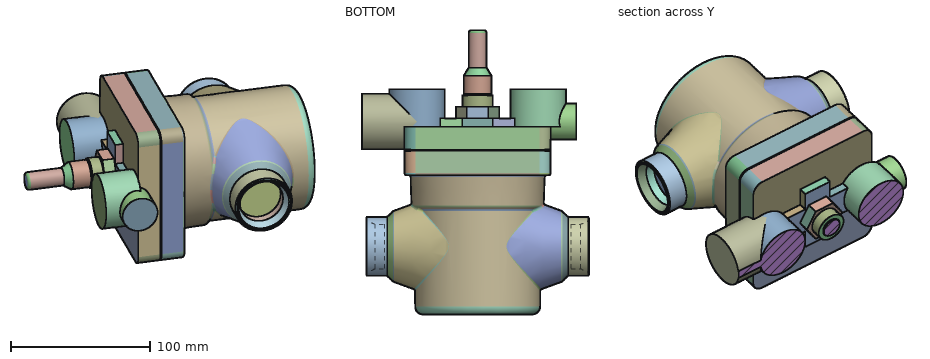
import cadquery as cq
import math


body_top = 49.0
body_diameter = 90.0
body_crown_radius = 6.0
shoulder_start = -26.1
shoulder_radius = 2.0
neck_diameter = 95.0
neck_foot_diameter = 96.5
neck_foot_radius = 1.2

plate_side = 105.0
plate_corner_radius = 8.0
flange_back = -51.0
flange_front = -68.5
flange_edge_radius = 1.5
cover_back = -69.4
cover_front = -85.8
gasket_diameter = neck_foot_diameter

port_end = 80.0
port_start = 65.0
port_diameter = 42.4
port_lip_radial = 1.2
port_lip_axial = 0.5
boss_diameter = 51.0
boss_start = 60.4
boss_root = 16.0
boss_draft = 20.0
boss_fillet = 1.5
boss_edge_radius = 3.0
bore_mouth_diameter = 37.5
bore_diameter = 32.0
bore_taper_depth = 6.2
bore_depth = 13.0

pilot_spacing = 87.0
pilot_diameter = 40.0
pilot_front = -112.8
pilot_axis_y = -89.6
large_pilot_end = -83.0
small_pilot_diameter = 26.0
small_pilot_end = 71.0

pad_width = 22.0
pad_height = 52.5
pad_thickness = 6.0
hex_sides = 6
hex_across_flats = 27.0
hex_thickness = 8.5
collar_diameter = 22.0
collar_front = -108.4
groove_diameter = 14.5
groove_width = 1.0
spindle_diameter = 20.0
spindle_front = -122.5
spindle_cone_length = 5.8
tip_diameter = 13.0
tip_end = -155.26
tip_radius = 2.0

match_tolerance = 0.01


def plate(back, front):
    """Square plate with rounded corners between two Y stations."""
    return (
        cq.Workplane("XZ", origin=(0, back, 0))
        .rect(plate_side, plate_side)
        .extrude(back - front)
        .edges("|Y")
        .fillet(plate_corner_radius)
    )


def disc(diameter, back, front, x=0.0):
    """Cylinder parallel to Y between two Y stations."""
    return cq.Workplane("XZ", origin=(x, back, 0)).circle(diameter / 2).extrude(back - front)


def make_body():
    """Cap, 45 degree shoulder and tapered neck, turned about Y."""
    body_radius = body_diameter / 2
    neck_radius = neck_diameter / 2
    foot_radius = neck_foot_diameter / 2
    shoulder_end = shoulder_start - (neck_radius - body_radius)
    turned = (
        cq.Workplane("XY")
        .moveTo(0, body_top)
        .lineTo(body_radius, body_top)
        .lineTo(body_radius, shoulder_start)
        .lineTo(neck_radius, shoulder_end)
        .lineTo(foot_radius, flange_back + neck_foot_radius)
        .radiusArc((foot_radius + neck_foot_radius, flange_back), -neck_foot_radius)
        .lineTo(0, flange_back)
        .close()
        .revolve(360, (0, 0), (0, 1))
    )
    turned = turned.faces(">Y").edges().fillet(body_crown_radius)
    shoulder = cq.selectors.BoxSelector(
        (-plate_side, shoulder_end - match_tolerance, -plate_side),
        (plate_side, shoulder_start + match_tolerance, plate_side),
    )
    return turned.edges("%CIRCLE").edges(shoulder).fillet(shoulder_radius)


def make_boss(side):
    """Conical boss of one main port, widening toward the valve axis; side is -1 or +1."""
    root_radius = boss_diameter / 2 + (boss_start - boss_root) * math.tan(math.radians(boss_draft))
    return (
        cq.Workplane("XY")
        .moveTo(side * boss_root, 0)
        .lineTo(side * boss_root, root_radius)
        .lineTo(side * boss_start, boss_diameter / 2)
        .lineTo(side * boss_start, 0)
        .close()
        .revolve(360, (0, 0), (1, 0))
    )


def is_on_boss(point):
    """True where a point lies on the cone of a main port boss."""
    cone_radius = boss_diameter / 2 + (boss_start - abs(point.x)) * math.tan(math.radians(boss_draft))
    return abs(math.hypot(point.y, point.z) - cone_radius) < match_tolerance


def blend_bosses(body):
    """Fillet the seams where the conical bosses meet the body, shoulder and neck."""
    seam_samples = (0, 0.5, 1)
    seams = [
        edge
        for edge in body.edges().vals()
        if abs(edge.Center().x) < boss_start - match_tolerance
        and edge.geomType() == "BSPLINE"
        and all(is_on_boss(edge.positionAt(t)) for t in seam_samples)
    ]
    return body.newObject(seams).fillet(boss_fillet)


def make_port(side):
    """Pipe end of one main port, with the 45 degree step that joins it to its boss."""
    port_radius = port_diameter / 2
    return (
        cq.Workplane("XY")
        .moveTo(side * boss_root, 0)
        .lineTo(side * boss_root, boss_diameter / 2)
        .lineTo(side * boss_start, boss_diameter / 2)
        .lineTo(side * port_start, port_radius)
        .lineTo(side * (port_end - port_lip_axial), port_radius)
        .lineTo(side * port_end, port_radius - port_lip_radial)
        .lineTo(side * port_end, 0)
        .close()
        .revolve(360, (0, 0), (1, 0))
    )


def round_boss_edges(body):
    """Round the edge between each boss cone and its step."""
    edges = [
        edge
        for edge in body.edges("%CIRCLE").vals()
        if abs(abs(edge.Center().x) - boss_start) < match_tolerance
    ]
    return body.newObject(edges).fillet(boss_edge_radius)


def make_port_bore(side):
    """Blind bore of one main port, with a tapered mouth."""
    return (
        cq.Workplane("XY")
        .moveTo(side * port_end, 0)
        .lineTo(side * port_end, bore_mouth_diameter / 2)
        .lineTo(side * (port_end - bore_taper_depth), bore_diameter / 2)
        .lineTo(side * (port_end - bore_depth), bore_diameter / 2)
        .lineTo(side * (port_end - bore_depth), 0)
        .close()
        .revolve(360, (0, 0), (1, 0))
    )


def make_plates():
    """Body flange, gasket disc and cover, stacked along Y."""
    flange = plate(flange_back, flange_front).faces(">Y").edges().fillet(flange_edge_radius)
    gasket = disc(gasket_diameter, flange_front, cover_back)
    return flange.union(gasket).union(plate(cover_back, cover_front))


def make_pilot_port(x, end_x, diameter):
    """Round boss on the cover at x, with a sideways branch that ends at end_x."""
    branch = (
        cq.Workplane("YZ", origin=(x, pilot_axis_y, 0))
        .circle(diameter / 2)
        .extrude(end_x - x)
    )
    return disc(pilot_diameter, cover_front, pilot_front, x).union(branch)


def make_pad():
    """Cross-shaped pad on the cover; its horizontal arms run into the pilot bosses."""
    return (
        cq.Workplane("XZ", origin=(0, cover_front, 0))
        .rect(pilot_spacing, pad_width)
        .extrude(pad_thickness)
        .union(
            cq.Workplane("XZ", origin=(0, cover_front, 0))
            .rect(pad_width, pad_height)
            .extrude(pad_thickness)
        )
    )


def make_stem():
    """Hexagon, collar, groove and stepped spindle along -Y."""
    hex_across_corners = hex_across_flats / math.cos(math.pi / hex_sides)
    hex_back = cover_front - pad_thickness
    hex_front = hex_back - hex_thickness
    groove_front = collar_front - groove_width
    hexagon = (
        cq.Workplane("XZ", origin=(0, hex_back, 0))
        .polygon(hex_sides, hex_across_corners)
        .extrude(hex_thickness)
    )
    spindle = (
        cq.Workplane("XY")
        .moveTo(0, groove_front)
        .lineTo(spindle_diameter / 2, groove_front)
        .lineTo(spindle_diameter / 2, spindle_front)
        .lineTo(tip_diameter / 2, spindle_front - spindle_cone_length)
        .lineTo(tip_diameter / 2, tip_end)
        .lineTo(0, tip_end)
        .close()
        .revolve(360, (0, 0), (0, 1))
        .faces("<Y")
        .edges()
        .fillet(tip_radius)
    )
    return (
        hexagon.union(disc(collar_diameter, hex_front, collar_front))
        .union(disc(groove_diameter, collar_front, groove_front))
        .union(spindle)
    )


sides = (-1, 1)

result = make_body()
for side in sides:
    result = result.union(make_boss(side))
result = blend_bosses(result)

for side in sides:
    result = result.union(make_port(side)).cut(make_port_bore(side))

result = round_boss_edges(result)

result = result.union(make_plates())
result = result.union(make_pilot_port(-pilot_spacing / 2, large_pilot_end, pilot_diameter))
result = result.union(make_pilot_port(pilot_spacing / 2, small_pilot_end, small_pilot_diameter))
result = result.union(make_pad())
result = result.union(make_stem())